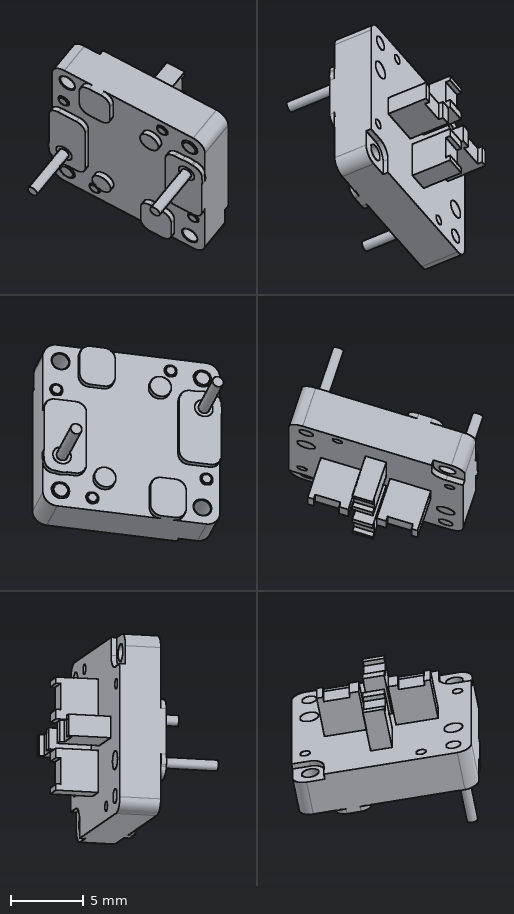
import cadquery as cq


OVERALL_WIDTH = 12.8

PLATE_SIDE = 12.7
PLATE_THICKNESS = 2.96
PLATE_CORNER_RADIUS = 1.0
HALF_SIDE = PLATE_SIDE / 2

GRID = 5.08

STANDOFF_HEIGHT = 0.4
STANDOFF_CORNER_RADIUS = 0.77
PIN_PAD_WIDTH = 3.02
PIN_PAD_LENGTH = 5.63
PIN_PAD_TOP = 3.8
EDGE_PAD_WIDTH = 2.53
EDGE_PAD_LENGTH = 3.02
EDGE_PAD_X = GRID / 2
DISC_RADIUS = 0.77
DISC_X = 1.98
DISC_Z = 3.84

PIN_X = GRID
PIN_Z = GRID / 2
PIN_RADIUS = 0.4
PIN_LENGTH = 4.0
COLLAR_RADIUS = 0.65
PIN_BOSS_RADIUS = OVERALL_WIDTH / 2 - PIN_X

SCREW_HOLE_RADIUS = 0.6
SCREW_HOLE_CHAMFER = 0.05
RECESS_DEPTH = 0.4
RECESS_RADIUS = 1.02

STUD_PROUD = 0.07
STUD_GAP_DEPTH = 0.2
LARGE_STUD_RADIUS = 0.51
LARGE_STUD_GAP = 0.13
SMALL_STUD_RADIUS = 0.35
SMALL_STUD_GAP = 0.1
SMALL_STUD_NEAR = 2.8
SMALL_STUD_FAR = 5.38

CLIP_WIDTH = 1.51
CLIP_HEIGHT = 3.05
CLIP_INNER = 1.04
CLIP_OUTER = 4.0
SLOT_INNER = 1.72
SLOT_OUTER = 3.56
SLOT_DEPTH = 0.35
CLIP_ANGLES = [0, 90, 180, 270]

BACK_Y = PLATE_THICKNESS
CLIP_TOP_Y = BACK_Y + CLIP_HEIGHT

PIN_PLACES = [(PIN_X, PIN_Z), (-PIN_X, -PIN_Z)]
SCREW_SIGNS = [(-1, 1), (1, -1)]
LARGE_STUD_PLACES = [(GRID, GRID), (-GRID, -GRID)]
SMALL_STUD_PLACES = [
    (SMALL_STUD_NEAR, SMALL_STUD_FAR),
    (SMALL_STUD_FAR, -SMALL_STUD_NEAR),
    (-SMALL_STUD_NEAR, -SMALL_STUD_FAR),
    (-SMALL_STUD_FAR, SMALL_STUD_NEAR),
]


def plane_at(y):
    """XZ workplane at the given Y, facing -Y."""
    return cq.Workplane("XZ", origin=(0, y, 0))


def block(x, z, width, length, front_y, back_y):
    """Box centred on (x, z) between two depths."""
    return plane_at(back_y).center(x, z).rect(width, length).extrude(back_y - front_y)


def cylinder(x, z, radius, front_y, back_y):
    """Round bar along Y, centred on (x, z), between two depths."""
    return plane_at(back_y).center(x, z).circle(radius).extrude(back_y - front_y)


def standoff_pad(x, z, width, length):
    """Rounded pad that reaches from the plate to the standoff height."""
    pad = block(x, z, width, length, -STANDOFF_HEIGHT, 0)
    return pad.edges("|Y").fillet(STANDOFF_CORNER_RADIUS)


def stepped_hole(x, z, radius, gap):
    """Cutter for a hole through the plate, wider by the gap near the front face."""
    bore = cylinder(x, z, radius, 0, BACK_Y)
    return bore.union(cylinder(x, z, radius + gap, 0, STUD_GAP_DEPTH))


def chamfered_hole(x, z, radius, chamfer):
    """Cutter for a hole through the plate with a 45 degree chamfer at the front face."""
    bore = cylinder(x, z, radius, 0, BACK_Y)
    cone = cq.Solid.makeCone(radius + chamfer, radius, chamfer, cq.Vector(x, 0, z), cq.Vector(0, 1, 0))
    return bore.union(cq.Workplane(cone))


def add_standoffs(body):
    pin_pad_x = HALF_SIDE - PIN_PAD_WIDTH / 2
    pin_pad_z = PIN_PAD_TOP - PIN_PAD_LENGTH / 2
    edge_pad_z = HALF_SIDE - EDGE_PAD_LENGTH / 2
    for side in (1, -1):
        body = body.union(standoff_pad(side * pin_pad_x, side * pin_pad_z, PIN_PAD_WIDTH, PIN_PAD_LENGTH))
        body = body.union(
            standoff_pad(-side * EDGE_PAD_X, side * edge_pad_z, EDGE_PAD_WIDTH, EDGE_PAD_LENGTH)
        )
        body = body.union(cylinder(side * DISC_X, side * DISC_Z, DISC_RADIUS, -STANDOFF_HEIGHT, 0))
    for x, z in PIN_PLACES:
        body = body.union(cylinder(x, z, PIN_BOSS_RADIUS, -STANDOFF_HEIGHT, 0))
    return body


def make_clip():
    """Clip on the +X arm, with a slot across the middle of its free end."""
    length = CLIP_OUTER - CLIP_INNER
    center = (CLIP_OUTER + CLIP_INNER) / 2
    slot_length = SLOT_OUTER - SLOT_INNER
    slot_center = (SLOT_OUTER + SLOT_INNER) / 2
    clip = block(center, 0, length, CLIP_WIDTH, BACK_Y, CLIP_TOP_Y)
    return clip.cut(block(slot_center, 0, slot_length, CLIP_WIDTH, CLIP_TOP_Y - SLOT_DEPTH, CLIP_TOP_Y))


def add_clips(body):
    clip = make_clip()
    for angle in CLIP_ANGLES:
        body = body.union(clip.rotate((0, 0, 0), (0, 1, 0), angle))
    return body


def cut_screw_holes(body):
    recess_side = 2 * (HALF_SIDE - GRID + RECESS_RADIUS)
    for x_sign, z_sign in SCREW_SIGNS:
        hole = chamfered_hole(x_sign * GRID, z_sign * GRID, SCREW_HOLE_RADIUS, SCREW_HOLE_CHAMFER)
        recess = block(
            x_sign * HALF_SIDE, z_sign * HALF_SIDE, recess_side, recess_side, BACK_Y - RECESS_DEPTH, BACK_Y
        )
        body = body.cut(hole).cut(recess.edges("|Y").fillet(RECESS_RADIUS))
    return body


def cut_insert_holes(body):
    for x, z in PIN_PLACES:
        body = body.cut(cylinder(x, z, COLLAR_RADIUS, -STANDOFF_HEIGHT, BACK_Y))
    for x, z in LARGE_STUD_PLACES:
        body = body.cut(stepped_hole(x, z, LARGE_STUD_RADIUS, LARGE_STUD_GAP))
    for x, z in SMALL_STUD_PLACES:
        body = body.cut(stepped_hole(x, z, SMALL_STUD_RADIUS, SMALL_STUD_GAP))
    return body


def make_housing():
    body = block(0, 0, PLATE_SIDE, PLATE_SIDE, 0, BACK_Y)
    body = body.edges("|Y").fillet(PLATE_CORNER_RADIUS)
    body = add_standoffs(body)
    body = add_clips(body)
    body = cut_screw_holes(body)
    return cut_insert_holes(body)


def make_pin(x, z):
    """Pin whose thick collar fills its hole and ends flush with the standoff pad."""
    collar = cylinder(x, z, COLLAR_RADIUS, -STANDOFF_HEIGHT, BACK_Y)
    tip_y = -STANDOFF_HEIGHT - PIN_LENGTH
    return collar.union(cylinder(x, z, PIN_RADIUS, tip_y, -STANDOFF_HEIGHT))


def make_stud(x, z, radius):
    return cylinder(x, z, radius, -STUD_PROUD, BACK_Y)


housing = make_housing()
pins = [make_pin(x, z) for x, z in PIN_PLACES]
large_studs = [make_stud(x, z, LARGE_STUD_RADIUS) for x, z in LARGE_STUD_PLACES]
small_studs = [make_stud(x, z, SMALL_STUD_RADIUS) for x, z in SMALL_STUD_PLACES]

bodies = [housing, *pins, *large_studs, *small_studs]
result = cq.Compound.makeCompound([body.solids().val() for body in bodies])